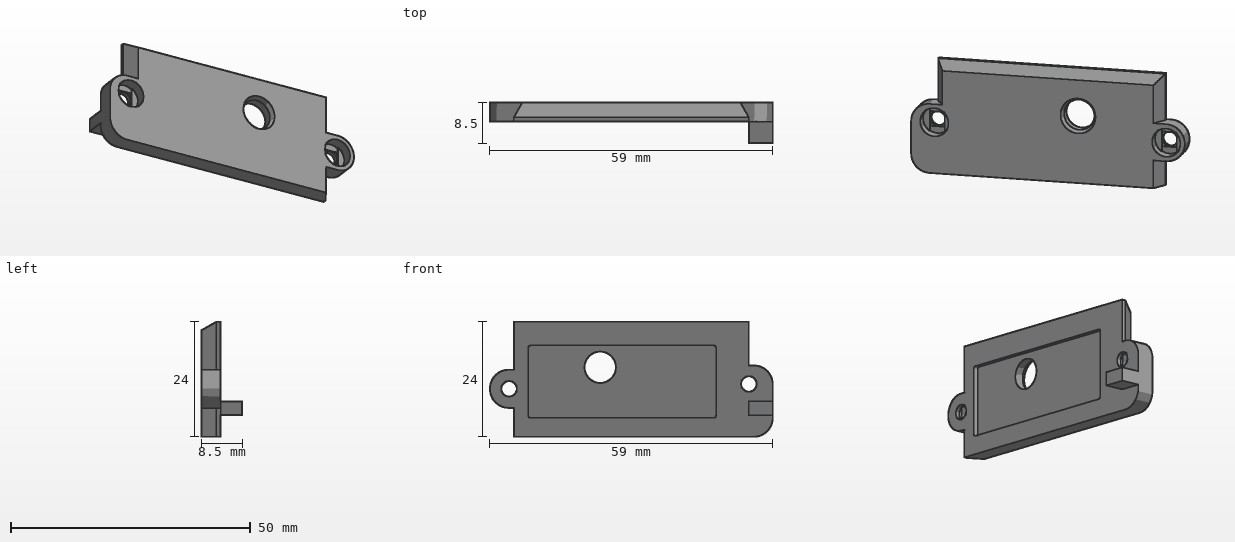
import cadquery as cq

length = 59.0
height = 24.0
thickness = 4.0
plate_left = 5.0
plate_right = 54.0

lip_thickness = 0.9
bevel_width = 1.75

ear_radius = 4.0
left_hole_z = 10.05
right_hole_z = 11.05
right_ear_top = 14.9
screw_diameter = 3.2
head_diameter = 6.1
square_seat = 1.0
step_depth = 0.3

recess_left = 8.0
recess_right = 47.15
recess_bottom = 3.95
recess_top = 19.05
recess_depth = 1.0
recess_corner_radius = 0.5

window_x = 23.0
window_z = 14.5
window_diameter = 6.5
window_flare_depth = 1.0
window_flare = 0.55

peg_bottom = 4.55
peg_height = 2.9
peg_length = 4.5


def block(left, right, bottom, top, front, back):
    """Box between the given X, Z and Y limits."""
    size = (right - left, back - front, top - bottom)
    return cq.Workplane("XY").box(*size, centered=False).translate((left, front, bottom))


def cylinder(x, z, diameter, front=0):
    """Cylinder along Y from the given front position to the back face."""
    disk = cq.Workplane("XZ", origin=(x, front, z)).circle(diameter / 2)
    return disk.extrude(front - thickness)


def beveled_plate():
    """Rectangular plate beveled behind its lip, with a square bottom edge."""
    plate = block(plate_left, plate_right, 0, height, 0, thickness)
    for edge_x, inward in ((plate_left, 1), (plate_right, -1)):
        wedge = (
            cq.Workplane("XY")
            .moveTo(edge_x, lip_thickness)
            .lineTo(edge_x, thickness)
            .lineTo(edge_x + inward * bevel_width, thickness)
            .close()
            .extrude(height)
        )
        plate = plate.cut(wedge)
    top_wedge = (
        cq.Workplane("YZ")
        .moveTo(lip_thickness, height)
        .lineTo(thickness, height)
        .lineTo(thickness, height - bevel_width)
        .close()
        .extrude(length)
    )
    return plate.cut(top_wedge)


def left_ear():
    """Round-ended ear that reaches in past the side bevel."""
    arm = block(
        ear_radius, plate_left + bevel_width,
        left_hole_z - ear_radius, left_hole_z + ear_radius,
        0, thickness,
    )
    return cylinder(ear_radius, left_hole_z, 2 * ear_radius).union(arm)


def right_ear():
    """Full-thickness ear with both outer corners rounded."""
    ear = block(plate_right - bevel_width, length, 0, right_ear_top, 0, thickness)
    return ear.edges("|Y and >X").fillet(ear_radius)


def recess():
    pocket = block(recess_left, recess_right, recess_bottom, recess_top, 0, recess_depth)
    return pocket.edges("|Y").fillet(recess_corner_radius)


def peg():
    """Rectangular peg flush with the right end of the plate."""
    return block(plate_right, length, peg_bottom, peg_bottom + peg_height, -peg_length, thickness)


def window():
    """Round opening flared toward the back face."""
    return (
        cq.Workplane("XY")
        .lineTo(window_diameter / 2, 0)
        .lineTo(window_diameter / 2, thickness - window_flare_depth)
        .lineTo(window_diameter / 2 + window_flare, thickness)
        .lineTo(0, thickness)
        .close()
        .revolve(360, (0, 0), (0, 1))
        .translate((window_x, 0, window_z))
    )


def screw_hole(x, z):
    """Round hole opening through a square step and a vertical slot into a round counterbore at the back."""
    half = screw_diameter / 2
    slot_seat = square_seat + step_depth
    head_seat = slot_seat + step_depth
    square = block(x - half, x + half, z - half, z + half, square_seat, slot_seat)
    slot = block(x - half, x + half, z - head_diameter / 2, z + head_diameter / 2, slot_seat, head_seat)
    slot = slot.intersect(cylinder(x, z, head_diameter))
    counterbore = cylinder(x, z, head_diameter, head_seat)
    return cylinder(x, z, screw_diameter).union(square).union(slot).union(counterbore)


result = beveled_plate().union(left_ear()).union(right_ear()).union(peg())
result = result.cut(recess()).cut(window())
result = result.cut(screw_hole(ear_radius, left_hole_z))
result = result.cut(screw_hole(plate_right, right_hole_z))